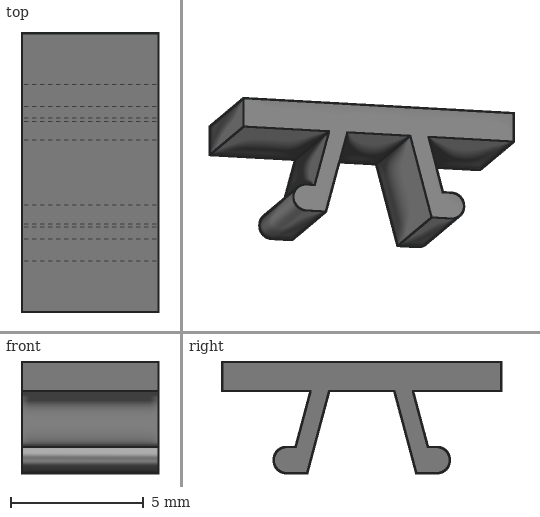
import cadquery as cq
import math

width = 5.15
plate_length = 10.5
plate_thickness = 1.1
total_height = 4.2
plate_bottom = total_height - plate_thickness

leg_splay = math.radians(15)
leg_root_inner = 1.22
leg_root_outer = 1.93

catch_radius = 0.5
catch_reach = 3.32


def make_plate():
    return (
        cq.Workplane("XY")
        .box(width, plate_length, plate_thickness, centered=(True, True, False))
        .translate((0, 0, plate_bottom))
    )


def make_leg(side):
    """Leg with its catch; side is +1 or -1 along Y."""
    catch_top = 2 * catch_radius
    catch_center = catch_reach - catch_radius
    foot_inner = leg_root_inner + plate_bottom * math.tan(leg_splay)
    catch_inner = leg_root_outer + (plate_bottom - catch_top) * math.tan(leg_splay)
    return (
        cq.Workplane("YZ")
        .moveTo(side * leg_root_inner, plate_bottom)
        .lineTo(side * foot_inner, 0)
        .lineTo(side * catch_center, 0)
        .threePointArc((side * catch_reach, catch_radius), (side * catch_center, catch_top))
        .lineTo(side * catch_inner, catch_top)
        .lineTo(side * leg_root_outer, plate_bottom)
        .close()
        .extrude(width / 2, both=True)
    )


result = make_plate()
for leg_side in (-1, 1):
    result = result.union(make_leg(leg_side))